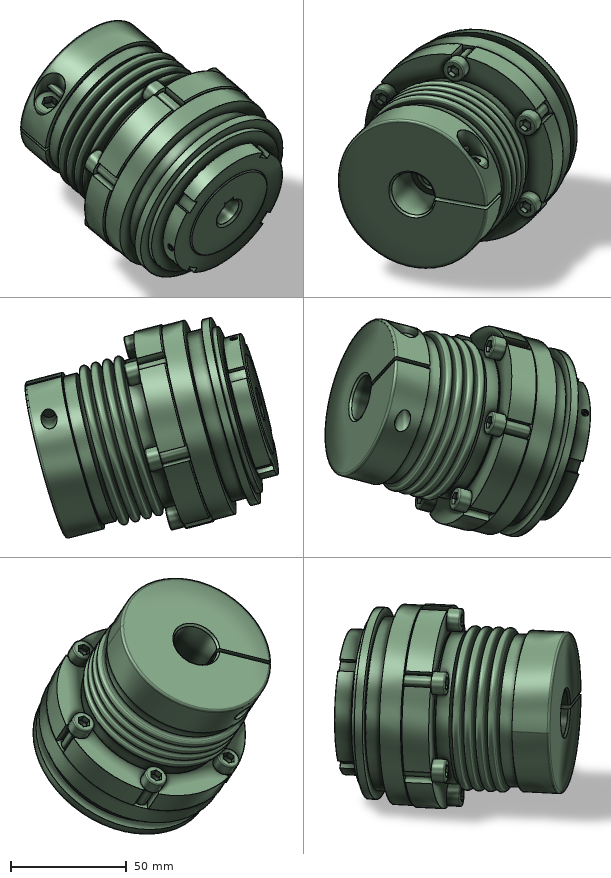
import cadquery as cq
import math

TOTAL_LENGTH = 96.0

HUB_DIA = 70.0
HUB_LENGTH = 16.5
HUB_EDGE_FILLET = 1.1
HUB_BORE_DIA = 20.0
HUB_BORE_CHAMFER = 1.0
SLIT_WIDTH = 1.7

CLAMP_X = HUB_LENGTH / 2
CLAMP_Y = -25.0
CLAMP_COUNTERBORE_DIA = 13.4
CLAMP_CLEARANCE_DIA = 8.6
CLAMP_TAP_DIA = 6.8
CLAMP_HEAD_DIA = 13.0
CLAMP_HEAD_HEIGHT = 8.0
CLAMP_HEAD_FILLET = 0.7
CLAMP_SHANK_DIA = 8.0
CLAMP_SHANK_LENGTH = 20.0
CLAMP_SOCKET_FLATS = 6.0
CLAMP_SOCKET_DEPTH = 4.0
CLAMP_SEAT_Z = 9.1

PIN_DIA = 3.3
PIN_LENGTH = 13.9
PIN_Y = -19.6
PIN_Z = 19.7

COLLAR_DIA = 66.2
RELIEF_DIA = 65.1
COLLAR_START = 16.9
BELLOWS_START = 22.5
BELLOWS_CREST_DIA = 71.2
BELLOWS_ROOT_DIA = 52.8
CREST_WIDTH = 3.3
CREST_COUNT = 4
LAST_CREST_END = 43.1
ROOT_WIDTH = (LAST_CREST_END - BELLOWS_START) / CREST_COUNT - CREST_WIDTH
BELLOWS_END = 44.6
COLLAR_END = 50.7

FLANGE_START = 51.5
FLANGE_END = 63.7
FLANGE_DIA = 88.0
FLANGE_CHAMFER = 0.6
BOLT_COUNT = 6
BOLT_HEAD_DIA = 10.0
BOLT_CIRCLE_RADIUS = (FLANGE_DIA - BOLT_HEAD_DIA) / 2
BOLT_HEAD_HEIGHT = 6.0
BOLT_HEAD_FILLET = 0.6
BOLT_SHANK_DIA = 6.0
BOLT_SOCKET_FLATS = 5.0
BOLT_SOCKET_DEPTH = 3.0
BOLT_SLOT_WIDTH = 6.8

PLATE_START = 63.9
PLATE_DIA = 86.7
PLATE_END = 73.2
BODY_START = 73.6
BODY_DIA = 75.6
BODY_END = 80.5
GROOVE_DIA = 72.6
RING_START = 81.1
RING_DIA = 83.1
RING_END = 84.7
STEP_DIA = 74.1
STEP_END = 86.8

SPRING_INNER_DIA = 52.3
SPRING_OUTER_DIA = 60.8
SPRING_END = 87.8
NUT_START = 88.1
NUT_END = 95.4
NUT_DIA = 63.2
NUT_NOTCH_COUNT = 4
NUT_NOTCH_WIDTH = 6.0
NUT_NOTCH_FLOOR = 29.0
KEYED_HUB_DIA = 45.0
KEYED_HUB_CHAMFER = TOTAL_LENGTH - NUT_END
SHAFT_BORE_DIA = 13.0
SHAFT_BORE_CHAMFER = 1.1
KEYWAY_WIDTH = 5.0
KEYWAY_TOP = 8.7

SET_SCREW_X = 92.8
SET_SCREW_DIA = 3.0
SET_SCREW_MOUTH_DIA = 3.4
SET_SCREW_RECESS = 0.6
SET_SCREW_SOCKET_FLATS = 1.5
SET_SCREW_SOCKET_DEPTH = 1.4

SOCKET_TIP_ANGLE = 120.0


def disc(x_start, x_end, diameter):
    """Cylinder on the X axis."""
    return cq.Workplane("YZ", origin=(x_start, 0, 0)).circle(diameter / 2).extrude(x_end - x_start)


def cone(x_start, x_end, start_dia, end_dia):
    """Truncated cone on the X axis."""
    length = x_end - x_start
    solid = cq.Solid.makeCone(
        start_dia / 2, end_dia / 2, length, cq.Vector(x_start, 0, 0), cq.Vector(1, 0, 0)
    )
    return cq.Workplane(solid)


def hex_socket(flats, depth):
    """Hexagonal socket going down from z = 0, corners on X, with a drilled cone at its bottom."""
    corners = flats / math.cos(math.pi / 6)
    tip_height = corners / 2 / math.tan(math.radians(SOCKET_TIP_ANGLE / 2))
    prism = cq.Workplane("XY").polygon(6, corners).extrude(-(depth + tip_height))
    drill = (
        cq.Workplane("XZ")
        .polyline([(0, 0), (corners, 0), (corners, -depth + tip_height), (0, -depth - tip_height)])
        .close()
        .revolve(360, (0, 0, 0), (0, 1, 0))
    )
    return prism.intersect(drill)


def cap_screw(head_dia, head_height, fillet, flats, socket_depth, shank_dia, shank_length):
    """Socket head screw pointing down, with its head seated on z = 0."""
    head = cq.Workplane("XY").circle(head_dia / 2).extrude(head_height).faces(">Z").edges().fillet(fillet)
    shank = cq.Workplane("XY").circle(shank_dia / 2).extrude(-shank_length)
    socket = hex_socket(flats, socket_depth).translate((0, 0, head_height))
    return head.union(shank).cut(socket)


def bellows():
    """Solid of revolution with round crests and roots; the last root runs into the end collar."""
    root_arc = ROOT_WIDTH / 2
    crest_arc = CREST_WIDTH / 2
    root_low = BELLOWS_ROOT_DIA / 2
    root_high = root_low + root_arc
    crest_high = BELLOWS_CREST_DIA / 2
    crest_low = crest_high - crest_arc

    x = BELLOWS_START
    profile = cq.Workplane("XY").moveTo(x, 0).lineTo(x, root_high)
    for _ in range(CREST_COUNT):
        profile = profile.threePointArc((x + root_arc, root_low), (x + ROOT_WIDTH, root_high))
        x += ROOT_WIDTH
        profile = profile.lineTo(x, crest_low)
        profile = profile.threePointArc((x + crest_arc, crest_high), (x + CREST_WIDTH, crest_low))
        x += CREST_WIDTH
        profile = profile.lineTo(x, root_high)
    profile = profile.threePointArc((x + root_arc, root_low), (x + ROOT_WIDTH, root_high))
    profile = profile.lineTo(x + ROOT_WIDTH, 0).close()
    return profile.revolve(360, (0, 0, 0), (1, 0, 0))


def clamp_hub():
    """Hub with an edge fillet, a slit on the -Y side and the drilling for the clamp screw."""
    hub = disc(0, HUB_LENGTH, HUB_DIA).faces("<X").edges().fillet(HUB_EDGE_FILLET)
    radius = HUB_DIA / 2
    slit = cq.Workplane("XY").box(HUB_LENGTH, radius, SLIT_WIDTH, centered=(False, False, True))
    hub = hub.cut(slit.translate((0, -radius, 0)))

    seat = cq.Workplane("XY", origin=(CLAMP_X, CLAMP_Y, CLAMP_SEAT_Z))
    middle = cq.Workplane("XY", origin=(CLAMP_X, CLAMP_Y, 0))
    hub = hub.cut(seat.circle(CLAMP_COUNTERBORE_DIA / 2).extrude(radius))
    hub = hub.cut(middle.circle(CLAMP_CLEARANCE_DIA / 2).extrude(CLAMP_SEAT_Z))
    return hub.cut(middle.circle(CLAMP_TAP_DIA / 2).extrude(-radius))


def clamp_screw():
    screw = cap_screw(
        CLAMP_HEAD_DIA, CLAMP_HEAD_HEIGHT, CLAMP_HEAD_FILLET, CLAMP_SOCKET_FLATS,
        CLAMP_SOCKET_DEPTH, CLAMP_SHANK_DIA, CLAMP_SHANK_LENGTH,
    )
    return screw.translate((CLAMP_X, CLAMP_Y, CLAMP_SEAT_Z))


def captive_pin():
    return disc(CLAMP_X - PIN_LENGTH / 2, CLAMP_X + PIN_LENGTH / 2, PIN_DIA).translate((0, PIN_Y, PIN_Z))


def bolted_flange():
    """Flange with open slots on its rim and a socket head bolt standing in each of them."""
    thickness = FLANGE_END - FLANGE_START
    flange = disc(FLANGE_START, FLANGE_END, FLANGE_DIA).faces(">X").edges().chamfer(FLANGE_CHAMFER)
    slot_floor = (
        cq.Workplane("YZ", origin=(FLANGE_START, 0, BOLT_CIRCLE_RADIUS))
        .circle(BOLT_SLOT_WIDTH / 2)
        .extrude(thickness)
    )
    slot_mouth = (
        cq.Workplane("XY")
        .box(thickness, BOLT_SLOT_WIDTH, BOLT_HEAD_DIA, centered=(False, True, False))
        .translate((FLANGE_START, 0, BOLT_CIRCLE_RADIUS))
    )
    slot = slot_floor.union(slot_mouth)
    bolt = (
        cap_screw(
            BOLT_HEAD_DIA, BOLT_HEAD_HEIGHT, BOLT_HEAD_FILLET, BOLT_SOCKET_FLATS,
            BOLT_SOCKET_DEPTH, BOLT_SHANK_DIA, PLATE_START - FLANGE_START,
        )
        .rotate((0, 0, 0), (0, 1, 0), -90)
        .translate((FLANGE_START, 0, BOLT_CIRCLE_RADIUS))
    )
    for index in range(BOLT_COUNT):
        angle = index * 360 / BOLT_COUNT
        flange = flange.cut(slot.rotate((0, 0, 0), (1, 0, 0), angle))
        flange = flange.union(bolt.rotate((0, 0, 0), (1, 0, 0), angle))
    return flange


def stepped_discs():
    core = disc(FLANGE_END, STEP_END, GROOVE_DIA)
    plate = disc(PLATE_START, PLATE_END, PLATE_DIA)
    body = disc(BODY_START, BODY_END, BODY_DIA)
    ring = disc(RING_START, RING_END, RING_DIA)
    step = disc(RING_END, STEP_END, STEP_DIA)
    return core.union(plate).union(body).union(ring).union(step)


def slotted_nut():
    """Nut with four notches halfway between the Y and Z axes and a set screw facing -Y."""
    nut = disc(NUT_START, NUT_END, NUT_DIA).union(disc(SPRING_END, NUT_START, SPRING_OUTER_DIA))
    notch = (
        cq.Workplane("XY")
        .box(NUT_END - SPRING_END, NUT_NOTCH_WIDTH, NUT_DIA, centered=(False, True, False))
        .translate((SPRING_END, 0, NUT_NOTCH_FLOOR))
    )
    pitch = 360 / NUT_NOTCH_COUNT
    for index in range(NUT_NOTCH_COUNT):
        nut = nut.cut(notch.rotate((0, 0, 0), (1, 0, 0), (index + 0.5) * pitch))

    recess = cq.Workplane(
        cq.Solid.makeCone(SET_SCREW_DIA / 2, SET_SCREW_MOUTH_DIA / 2, SET_SCREW_RECESS)
    )
    set_screw = recess.union(hex_socket(SET_SCREW_SOCKET_FLATS, SET_SCREW_SOCKET_DEPTH))
    set_screw = set_screw.rotate((0, 0, 0), (1, 0, 0), 90)
    return nut.cut(set_screw.translate((SET_SCREW_X, -NUT_DIA / 2 + SET_SCREW_RECESS, 0)))


def keyed_hub():
    return disc(STEP_END, TOTAL_LENGTH, KEYED_HUB_DIA).faces(">X").edges().chamfer(KEYED_HUB_CHAMFER)


def bores():
    """Wide bore through the clamp hub and its collar, then a keyed bore to the far end."""
    wide_mouth = HUB_BORE_DIA + 2 * HUB_BORE_CHAMFER
    narrow_mouth = SHAFT_BORE_DIA + 2 * SHAFT_BORE_CHAMFER
    keyway = cq.Workplane("XY").box(
        TOTAL_LENGTH - BELLOWS_START, KEYWAY_WIDTH, KEYWAY_TOP, centered=(False, True, False)
    )
    return (
        disc(0, BELLOWS_START, HUB_BORE_DIA)
        .union(cone(0, HUB_BORE_CHAMFER, wide_mouth, HUB_BORE_DIA))
        .union(disc(BELLOWS_START, TOTAL_LENGTH, SHAFT_BORE_DIA))
        .union(cone(BELLOWS_START, BELLOWS_START + SHAFT_BORE_CHAMFER, narrow_mouth, SHAFT_BORE_DIA))
        .union(cone(TOTAL_LENGTH - SHAFT_BORE_CHAMFER, TOTAL_LENGTH, SHAFT_BORE_DIA, narrow_mouth))
        .union(keyway.translate((BELLOWS_START, 0, 0)))
    )


result = (
    clamp_hub()
    .union(clamp_screw())
    .union(captive_pin())
    .union(disc(HUB_LENGTH, COLLAR_START, RELIEF_DIA))
    .union(disc(COLLAR_START, BELLOWS_START, COLLAR_DIA))
    .union(bellows())
    .union(disc(BELLOWS_END, COLLAR_END, COLLAR_DIA))
    .union(disc(COLLAR_END, FLANGE_START, RELIEF_DIA))
    .union(bolted_flange())
    .union(stepped_discs())
    .union(cone(STEP_END, SPRING_END, SPRING_INNER_DIA, SPRING_OUTER_DIA))
    .union(slotted_nut())
    .union(keyed_hub())
    .cut(bores())
)